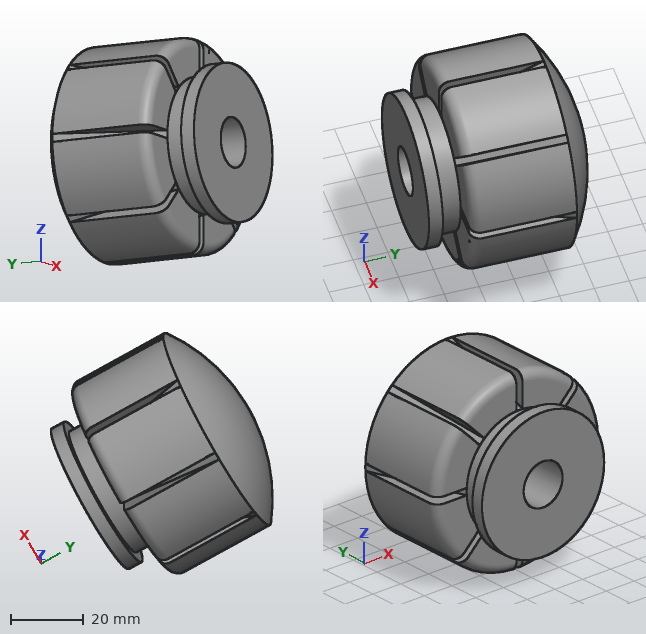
import cadquery as cq
import math

body_radius = 30.0
total_length = 50.0
flange_radius = 44.0 / 2
flange_thickness = 4.0
neck_radius = 38.0 / 2
body_start = 10.0
body_length = 30.0
rim_fillet = 3.0

hole_radius = 14.0 / 2
hole_depth = 30.0
drill_point_angle = 118.0

slot_count = 8
slot_width = 2.2
slot_depth = body_radius - neck_radius
slot_overrun = 3.0

body_end = body_start + body_length
tip_length = hole_radius / math.tan(math.radians(drill_point_angle / 2))


def revolve_about_y(profile):
    return profile.close().revolve(360, (0, 0, 0), (0, 1, 0))


def make_body():
    """Cylinder with a rounded front rim and a spherical dome behind."""
    dome_height = total_length - body_end
    dome_radius = (body_radius**2 + dome_height**2) / (2 * dome_height)
    half_angle = math.asin(body_radius / dome_radius) / 2
    dome_centre = total_length - dome_radius
    dome_mid = (
        dome_radius * math.sin(half_angle),
        dome_centre + dome_radius * math.cos(half_angle),
    )
    return revolve_about_y(
        cq.Workplane("XY")
        .moveTo(0, body_start)
        .lineTo(body_radius - rim_fillet, body_start)
        .radiusArc((body_radius, body_start + rim_fillet), -rim_fillet)
        .lineTo(body_radius, body_end)
        .threePointArc(dome_mid, (0, total_length))
    )


def make_slot(angle):
    """Wedge-shaped cutter, deepest at the body front."""
    outside = body_radius + slot_overrun
    return (
        cq.Workplane("XY")
        .moveTo(body_radius - slot_depth, body_start)
        .lineTo(outside, body_start)
        .lineTo(outside, body_end)
        .lineTo(body_radius, body_end)
        .close()
        .extrude(slot_width / 2, both=True)
        .rotate((0, 0, 0), (0, 1, 0), angle)
    )


def make_neck_and_flange():
    return revolve_about_y(
        cq.Workplane("XY")
        .lineTo(flange_radius, 0)
        .lineTo(flange_radius, flange_thickness)
        .lineTo(neck_radius, flange_thickness)
        .lineTo(neck_radius, body_start)
        .lineTo(0, body_start)
    )


def make_hole():
    return revolve_about_y(
        cq.Workplane("XY")
        .lineTo(hole_radius, 0)
        .lineTo(hole_radius, hole_depth)
        .lineTo(0, hole_depth + tip_length)
    )


body = make_body()
for index in range(slot_count):
    body = body.cut(make_slot(index * 360 / slot_count))

result = body.union(make_neck_and_flange()).cut(make_hole())